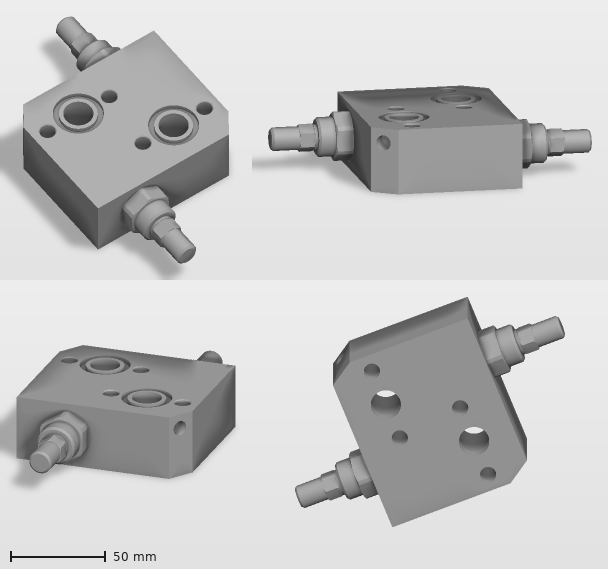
import cadquery as cq
import math

OVERALL_LENGTH = 164.4
BLOCK_LENGTH = 79.9
BLOCK_WIDTH = 94.0
BLOCK_HEIGHT = 35.0
CORNER_CUT_X = 12.8
CORNER_CUT_Y = 8.7

PORT_X = 18.0
PORT_Y = 18.1
PORT_DIAMETER = 16.0
GROOVE_OUTER_DIAMETER = 27.0
GROOVE_INNER_DIAMETER = 20.5
GROOVE_DEPTH = 2.6
BOLT_HOLE_DIAMETER = 8.5
BOLT_HOLE_CHAMFER = 0.5
BOLT_HOLE_OFFSET = 20.0

GAUGE_HOLE_DIAMETER = 8.0
GAUGE_HOLE_SHIFT = 0.7
GAUGE_HOLE_DEPTH = 6.9
GAUGE_HOLE_Z = 9.7

CARTRIDGE_Y = 19.0
SPOTFACE_DIAMETER = 28.0
SPOTFACE_DEPTH = 0.5
NUT_FLATS = 23.8
NUT_ROUND_DIAMETER = 26.3
NUT_CHAMFER_DIAMETER = 23.5
NUT_LENGTH = 8.9
BODY_DIAMETER = 21.0
BODY_LENGTH = 8.9
BODY_CHAMFER = 1.2
COLLAR_DIAMETER = 14.0
COLLAR_LENGTH = 1.5
LOCKNUT_FLATS = 13.0
LOCKNUT_CHAMFER_DIAMETER = 13.5
LOCKNUT_LENGTH = 8.0
STEM_DIAMETER = 12.5
STEM_CHAMFER = 1.2
HEX_CHAMFER_LENGTH = 0.7

CARTRIDGE_LENGTH = (OVERALL_LENGTH - BLOCK_LENGTH) / 2
STEM_LENGTH = CARTRIDGE_LENGTH - NUT_LENGTH - BODY_LENGTH - COLLAR_LENGTH - LOCKNUT_LENGTH
BLOCK_TOP = BLOCK_HEIGHT / 2
HEX_CORNER_RATIO = 2 / math.sqrt(3)


def half_turn(shape):
    """Turn a shape half a revolution about the vertical axis of the block."""
    return shape.rotate((0, 0, 0), (0, 0, 1), 180)


def make_block():
    """Rectangular block with two diagonally opposite corners cut off."""
    half_length = BLOCK_LENGTH / 2
    half_width = BLOCK_WIDTH / 2
    outline = [
        (-half_length + CORNER_CUT_X, -half_width),
        (half_length, -half_width),
        (half_length, half_width - CORNER_CUT_Y),
        (half_length - CORNER_CUT_X, half_width),
        (-half_length, half_width),
        (-half_length, -half_width + CORNER_CUT_Y),
    ]
    return cq.Workplane("XY").workplane(offset=-BLOCK_TOP).polyline(outline).close().extrude(BLOCK_HEIGHT)


def make_port_cutter():
    """Port bore, seal groove and chamfered bolt holes of the -X, -Y port."""
    port = (
        cq.Workplane("XY", origin=(-PORT_X, -PORT_Y, BLOCK_TOP))
        .circle(PORT_DIAMETER / 2)
        .extrude(-BLOCK_HEIGHT)
    )
    groove = (
        cq.Workplane("XY", origin=(-PORT_X, -PORT_Y, BLOCK_TOP))
        .circle(GROOVE_OUTER_DIAMETER / 2)
        .circle(GROOVE_INNER_DIAMETER / 2)
        .extrude(-GROOVE_DEPTH)
    )
    cutter = port.union(groove)
    for offset in (-BOLT_HOLE_OFFSET, BOLT_HOLE_OFFSET):
        hole_radius = BOLT_HOLE_DIAMETER / 2
        bolt_hole = (
            cq.Workplane("XZ", origin=(-PORT_X, -PORT_Y + offset, 0))
            .moveTo(0, -BLOCK_TOP)
            .lineTo(hole_radius, -BLOCK_TOP)
            .lineTo(hole_radius, BLOCK_TOP - BOLT_HOLE_CHAMFER)
            .lineTo(hole_radius + BOLT_HOLE_CHAMFER, BLOCK_TOP)
            .lineTo(0, BLOCK_TOP)
            .close()
            .revolve(360, (0, 0, 0), (0, 1, 0))
        )
        cutter = cutter.union(bolt_hole)
    return cutter


def make_gauge_hole_cutter():
    """Gauge hole running from the -X, -Y cut corner toward its port."""
    cut_length = math.hypot(CORNER_CUT_X, CORNER_CUT_Y)
    along_x = CORNER_CUT_X / cut_length
    along_y = -CORNER_CUT_Y / cut_length
    inward_x = -along_y
    inward_y = along_x
    start_x = (CORNER_CUT_X - BLOCK_LENGTH) / 2 - GAUGE_HOLE_SHIFT * along_x
    start_y = (CORNER_CUT_Y - BLOCK_WIDTH) / 2 - GAUGE_HOLE_SHIFT * along_y
    face = cq.Plane(
        origin=(start_x, start_y, GAUGE_HOLE_Z),
        xDir=(along_x, along_y, 0),
        normal=(inward_x, inward_y, 0),
    )
    return cq.Workplane(face).circle(GAUGE_HOLE_DIAMETER / 2).extrude(GAUGE_HOLE_DEPTH)


def make_hexagon(flats, round_diameter, base_diameter, tip_diameter, length):
    """Hexagon along +Z, with its corners turned down to a cylinder that tapers at its ends."""
    hexagon = cq.Workplane("XY").polygon(6, flats * HEX_CORNER_RATIO).extrude(length)
    turned = (
        cq.Workplane("XZ")
        .lineTo(base_diameter / 2, 0)
        .lineTo(round_diameter / 2, HEX_CHAMFER_LENGTH)
        .lineTo(round_diameter / 2, length - HEX_CHAMFER_LENGTH)
        .lineTo(tip_diameter / 2, length)
        .lineTo(0, length)
        .close()
        .revolve(360, (0, 0, 0), (0, 1, 0))
    )
    return hexagon.intersect(turned)


def make_cartridge():
    """Stepped cartridge standing on the XY plane and pointing along +Z."""
    nut = make_hexagon(
        flats=NUT_FLATS,
        round_diameter=NUT_ROUND_DIAMETER,
        base_diameter=NUT_ROUND_DIAMETER,
        tip_diameter=NUT_CHAMFER_DIAMETER,
        length=SPOTFACE_DEPTH + NUT_LENGTH,
    ).translate((0, 0, -SPOTFACE_DEPTH))
    body = (
        cq.Workplane("XY", origin=(0, 0, NUT_LENGTH))
        .circle(BODY_DIAMETER / 2)
        .extrude(BODY_LENGTH)
        .faces(">Z")
        .chamfer(BODY_CHAMFER)
    )
    collar_base = NUT_LENGTH + BODY_LENGTH
    collar = cq.Workplane("XY", origin=(0, 0, collar_base)).circle(COLLAR_DIAMETER / 2).extrude(COLLAR_LENGTH)
    locknut_base = collar_base + COLLAR_LENGTH
    locknut = make_hexagon(
        flats=LOCKNUT_FLATS,
        round_diameter=LOCKNUT_FLATS * HEX_CORNER_RATIO,
        base_diameter=LOCKNUT_CHAMFER_DIAMETER,
        tip_diameter=LOCKNUT_CHAMFER_DIAMETER,
        length=LOCKNUT_LENGTH,
    ).translate((0, 0, locknut_base))
    stem = (
        cq.Workplane("XY", origin=(0, 0, locknut_base + LOCKNUT_LENGTH))
        .circle(STEM_DIAMETER / 2)
        .extrude(STEM_LENGTH)
        .faces(">Z")
        .chamfer(STEM_CHAMFER)
    )
    return nut.union(body).union(collar).union(locknut).union(stem)


def place_on_left_side(shape):
    """Lay a shape standing along +Z onto the -X side face, pointing along -X."""
    laid_down = shape.rotate((0, 0, 0), (0, 1, 0), -90)
    return laid_down.translate((-BLOCK_LENGTH / 2, CARTRIDGE_Y, 0))


port_cutter = make_port_cutter()
gauge_hole_cutter = make_gauge_hole_cutter()
spotface_cutter = place_on_left_side(
    cq.Workplane("XY").circle(SPOTFACE_DIAMETER / 2).extrude(-SPOTFACE_DEPTH)
)
cartridge = place_on_left_side(make_cartridge())

result = make_block()
for cutter in (port_cutter, gauge_hole_cutter, spotface_cutter):
    result = result.cut(cutter).cut(half_turn(cutter))
result = result.union(cartridge).union(half_turn(cartridge))